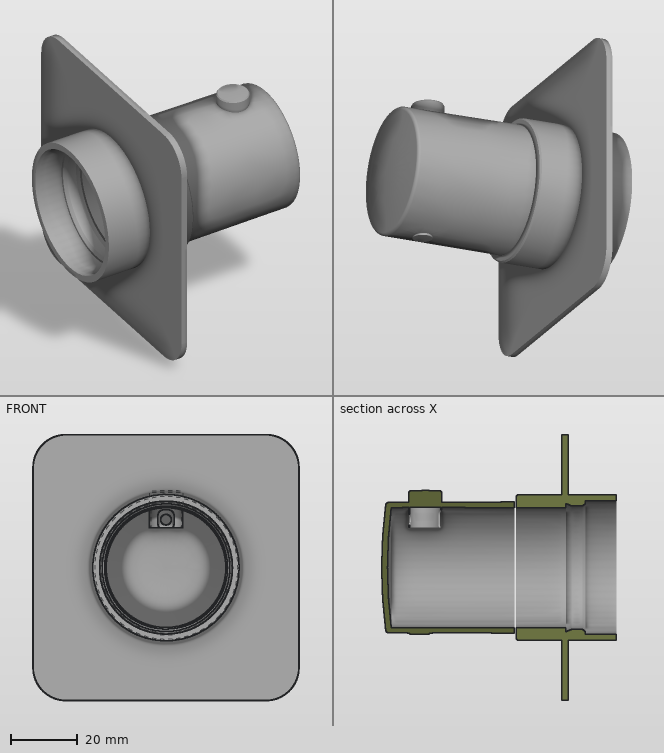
import cadquery as cq
import math


plate_side = 80.0
plate_corner_radius = 10.0
plate_thickness = 2.0
plate_front_y = 14.5

collar_radius = 22.0
collar_length = 30.2
collar_end_chamfer = 0.5
mouth_radius = 20.0
seat_radius = 19.2
ridge_radius = 18.5
bore_radius = 18.0
seat_y = 9.3
ridge_start_y = 10.3
ridge_end_y = 13.5
lip_y = 15.2

gap = 0.5
cap_front_radius = 19.9
cap_end_radius = 19.7
cap_length = 40.0
cap_edge_radius = 1.0
wall = cap_front_radius - bore_radius
dome_height = 1.2
cap_front_y = collar_length + gap
cap_tip_y = cap_front_y + cap_length
cap_rim_y = cap_tip_y - dome_height
rim_radius = cap_end_radius - cap_edge_radius

button_radius = 5.0
button_y = 57.5
button_bottom_z = 12.0
button_shoulder_z = 22.7
button_top_z = 23.3
button_edge_height = 0.4
button_edge_width = 0.3
button_bore_radius = 4.6
button_bore_top_z = bore_radius
cross_z = 14.4
window_width = 4.85
window_height = 5.9
window_corner_radius = 1.7
back_hole_radius = 1.6

pip_radius = 3.0
pip_y = 59.2
pip_bottom_z = -20.15
pip_root_z = -(bore_radius + wall / 2)


def revolve_about_y(profile):
    """Close a half profile in the XY plane and spin it about the Y axis."""
    return profile.close().revolve(360, (0, 0, 0), (0, 1, 0))


def sphere_radius(chord_radius, height):
    """Radius of a sphere whose cap has this base radius and height."""
    return (chord_radius ** 2 + height ** 2) / (2 * height)


def dome_y(radial, offset):
    """Y of the dome surface, moved inward by offset, at a distance from the axis."""
    dome_radius = sphere_radius(rim_radius, dome_height)
    centre_y = cap_tip_y - dome_radius
    return centre_y + math.sqrt((dome_radius - offset) ** 2 - radial ** 2)


def make_collar():
    """Flanged collar with a stepped bore."""
    tube = revolve_about_y(
        cq.Workplane("XY")
        .moveTo(mouth_radius, 0)
        .lineTo(collar_radius, 0)
        .lineTo(collar_radius, collar_length - collar_end_chamfer)
        .lineTo(collar_radius - collar_end_chamfer, collar_length)
        .lineTo(bore_radius, collar_length)
        .lineTo(bore_radius, lip_y)
        .lineTo(seat_radius, lip_y)
        .lineTo(ridge_radius, ridge_end_y)
        .lineTo(ridge_radius, ridge_start_y)
        .lineTo(seat_radius, seat_y)
        .lineTo(mouth_radius, seat_y)
    )
    plate = (
        cq.Workplane("XZ", origin=(0, plate_front_y, 0))
        .rect(plate_side, plate_side)
        .extrude(-plate_thickness)
        .edges("|Y")
        .fillet(plate_corner_radius)
        .faces("<Y")
        .workplane(origin=(0, plate_front_y, 0))
        .circle((mouth_radius + collar_radius) / 2)
        .cutThruAll()
    )
    return tube.union(plate)


def make_shell():
    """Thin cap with a rounded edge and a shallow domed end."""
    edge_diagonal = cap_edge_radius * math.sqrt(0.5)
    return revolve_about_y(
        cq.Workplane("XY")
        .moveTo(bore_radius, cap_front_y)
        .lineTo(cap_front_radius, cap_front_y)
        .lineTo(cap_end_radius, cap_rim_y - cap_edge_radius)
        .threePointArc(
            (rim_radius + edge_diagonal, cap_rim_y - cap_edge_radius + edge_diagonal),
            (rim_radius, cap_rim_y),
        )
        .threePointArc((rim_radius / 2, dome_y(rim_radius / 2, 0)), (0, cap_tip_y))
        .lineTo(0, cap_tip_y - wall)
        .threePointArc(
            (bore_radius / 2, dome_y(bore_radius / 2, wall)),
            (bore_radius, dome_y(bore_radius, wall)),
        )
    )


def make_button():
    """Round button with a bevelled edge and a slightly domed top."""
    top_radius = button_radius - button_edge_width
    dome_base_z = button_shoulder_z + button_edge_height
    dome_radius = sphere_radius(top_radius, button_top_z - dome_base_z)
    dome_drop = dome_radius - math.sqrt(dome_radius ** 2 - (top_radius / 2) ** 2)
    return (
        cq.Workplane("XZ", origin=(0, button_y, 0))
        .moveTo(0, button_bottom_z)
        .lineTo(button_radius, button_bottom_z)
        .lineTo(button_radius, button_shoulder_z)
        .lineTo(top_radius, dome_base_z)
        .threePointArc((top_radius / 2, button_top_z - dome_drop), (0, button_top_z))
        .close()
        .revolve(360, (0, 0, 0), (0, 1, 0))
    )


def make_button_hollow():
    """Cutter for the button: bore from below, front window and back hole."""
    bore = (
        cq.Workplane("XY", origin=(0, button_y, button_bottom_z))
        .circle(button_bore_radius)
        .extrude(button_bore_top_z - button_bottom_z)
    )
    window = (
        cq.Workplane("XZ", origin=(0, button_y, cross_z))
        .rect(window_width, window_height)
        .extrude(button_radius)
        .edges("|Y")
        .fillet(window_corner_radius)
    )
    back_hole = (
        cq.Workplane("XZ", origin=(0, button_y, cross_z))
        .circle(back_hole_radius)
        .extrude(-button_radius)
    )
    return bore.union(window).union(back_hole)


def make_pip():
    """Low round pip that grows from the middle of the cap wall."""
    return (
        cq.Workplane("XY", origin=(0, pip_y, pip_root_z))
        .circle(pip_radius)
        .extrude(pip_bottom_z - pip_root_z)
    )


def make_cap():
    """Cap with its button and pip."""
    return make_shell().union(make_button()).cut(make_button_hollow()).union(make_pip())


collar = make_collar()
cap = make_cap()
result = cq.Compound.makeCompound([collar.val(), cap.val()])